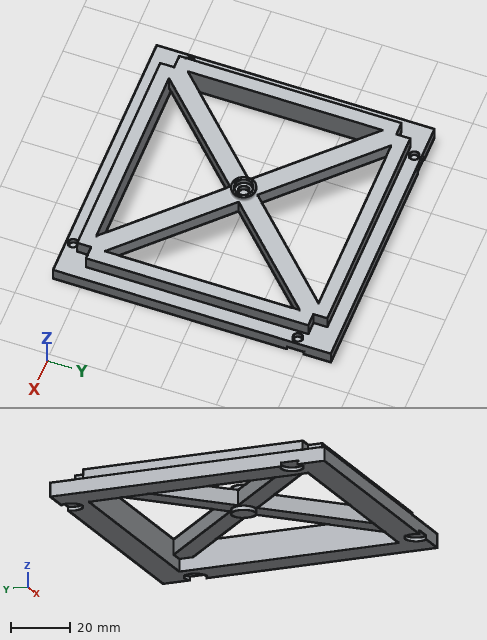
import cadquery as cq
import math

side = 100.0
step = 5.0
layer_height = 5.0
rim_side = side - 2 * step
opening_side = rim_side - 2 * step
frame_top = 2 * layer_height

origin = (0, 0, 0)
up = (0, 0, 1)

arm_angle = 45
arm_width = 7.0
arm_thickness = 5.5
arm_bottom = frame_top - arm_thickness
arm_length = math.sqrt(2) * opening_side

boss_diameter = 8.5
boss_height = 2.0
boss_top = frame_top + boss_height
flare_diameter = 10.0
flare_radius = (flare_diameter - boss_diameter) / 2
lower_boss_height = 1.5
bore_diameter = 6.5
bore_depth = boss_height
pilot_diameter = 4.0
pilot_depth = 4.0

hole_diameter = 3.5
hole_depth = 2.0
pocket_diameter = 7.7
pocket_depth = 1.3
corner_count = 4
hole_edge_distance = step / 2
hole_corner_distance = 12.8


def block(width, length, height, bottom):
    """Rectangular block centred on the Z axis."""
    return cq.Workplane("XY").workplane(offset=bottom).rect(width, length).extrude(height)


def cylinder(diameter, height, bottom):
    """Round bar on the Z axis."""
    return cq.Workplane("XY").workplane(offset=bottom).circle(diameter / 2).extrude(height)


def make_frame():
    base = block(side, side, layer_height, 0)
    rim = block(rim_side, opening_side, layer_height, layer_height)
    rim = rim.union(block(opening_side, rim_side, layer_height, layer_height))
    opening = block(opening_side, opening_side, frame_top, 0)
    return base.union(rim).cut(opening)


def make_arms():
    arm = block(arm_length, arm_width, arm_thickness, arm_bottom)
    return arm.rotate(origin, up, arm_angle).union(arm.rotate(origin, up, -arm_angle))


def make_hub():
    """Hub revolved about the Z axis, with a concave flare at the foot of the boss."""
    hub_radius = flare_diameter / 2
    boss_radius = boss_diameter / 2
    flare_offset = flare_radius * (1 - math.sqrt(0.5))
    return (
        cq.Workplane("XZ")
        .moveTo(0, arm_bottom)
        .lineTo(hub_radius, arm_bottom)
        .lineTo(hub_radius, frame_top)
        .threePointArc(
            (boss_radius + flare_offset, frame_top + flare_offset),
            (boss_radius, frame_top + flare_radius),
        )
        .lineTo(boss_radius, boss_top)
        .lineTo(0, boss_top)
        .close()
        .revolve(360, (0, 0, 0), (0, 1, 0))
    )


def make_lower_boss():
    return cylinder(boss_diameter, lower_boss_height, arm_bottom - lower_boss_height)


def make_bore():
    bore = cylinder(bore_diameter, bore_depth, boss_top - bore_depth)
    return bore.union(cylinder(pilot_diameter, pilot_depth, boss_top - pilot_depth))


def make_flange_hole():
    """Hole and pocket beside the front right corner."""
    hole = cylinder(hole_diameter, hole_depth, layer_height - hole_depth)
    pocket = cylinder(pocket_diameter, pocket_depth, 0)
    x = side / 2 - hole_corner_distance
    y = hole_edge_distance - side / 2
    return hole.union(pocket).translate((x, y, 0))


result = make_frame().union(make_arms()).union(make_hub()).union(make_lower_boss())
result = result.cut(make_bore())
for corner in range(corner_count):
    result = result.cut(make_flange_hole().rotate(origin, up, 360 / corner_count * corner))